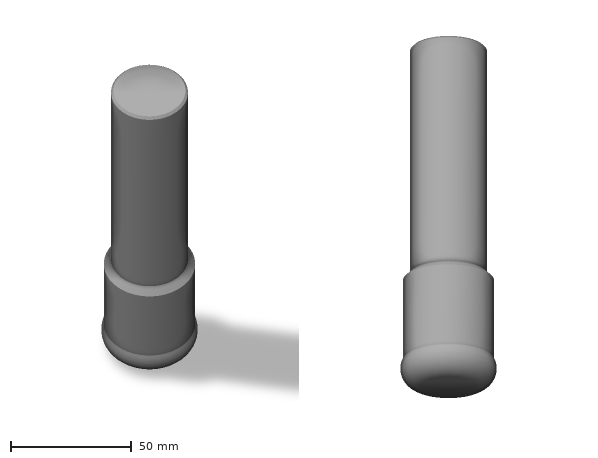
import cadquery as cq
import math

total_height = 150.0

rod_diameter = 32.0
rod_chamfer = 1.0

collar_diameter = 38.0
collar_top = total_height / 3
collar_chamfer = (collar_diameter - rod_diameter) / 2
bead_diameter = 40.0
bead_radius = 8.0
socket_floor = 12.0

rod_radius = rod_diameter / 2
collar_radius = collar_diameter / 2
bead_outer_radius = bead_diameter / 2
bead_inset = bead_outer_radius - collar_radius
bead_top = bead_radius + math.sqrt(bead_radius**2 - (bead_radius - bead_inset) ** 2)


def make_rod():
    """Round bar standing in the foot, with a chamfered top edge."""
    return (
        cq.Workplane("XY", origin=(0, 0, socket_floor))
        .circle(rod_radius)
        .extrude(total_height - socket_floor)
        .faces(">Z")
        .chamfer(rod_chamfer)
    )


def make_foot():
    """Revolved cap with a blind socket that fits the rod."""
    profile = (
        cq.Workplane("XZ")
        .lineTo(bead_outer_radius - bead_radius, 0)
        .tangentArcPoint((bead_outer_radius, bead_radius), relative=False)
        .tangentArcPoint((collar_radius, bead_top), relative=False)
        .lineTo(collar_radius, collar_top - collar_chamfer)
        .lineTo(rod_radius, collar_top)
        .lineTo(rod_radius, socket_floor)
        .lineTo(0, socket_floor)
        .close()
    )
    return profile.revolve(360, (0, 0, 0), (0, 1, 0))


rod = make_rod()
foot = make_foot()

result = cq.Compound.makeCompound([rod.val(), foot.val()])